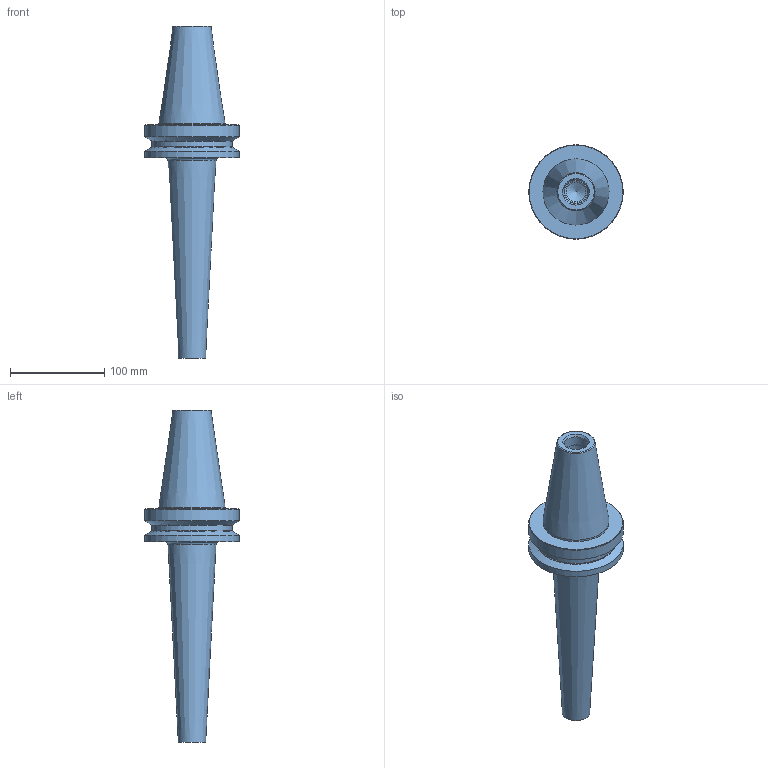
import cadquery as cq
import math


GAUGE_RADIUS = 69.85 / 2
TAPER_LENGTH = 101.8
TAPER_RATE = 7 / 24
TAPER_END_RADIUS = GAUGE_RADIUS - TAPER_LENGTH * TAPER_RATE / 2
TAPER_FOOT_Z = -1.0
TAPER_FOOT_RADIUS = GAUGE_RADIUS - TAPER_FOOT_Z * TAPER_RATE / 2
TAPER_EDGE_CHAMFER = 0.8

FLANGE_RADIUS = 50.0
FLANGE_TOP_Z = -3.0
FLANGE_CHAMFER = 0.5
FLANGE_BOTTOM_Z = -38.0
GROOVE_CENTRE_Z = -23.3
GROOVE_ROOT_RADIUS = 42.5
GROOVE_ROOT_WIDTH = 6.5
GROOVE_ROOT_FILLET = 0.8
GROOVE_FLANK_ANGLE = 30.0
GROOVE_FLANK_RISE = (FLANGE_RADIUS - GROOVE_ROOT_RADIUS) * math.tan(math.radians(GROOVE_FLANK_ANGLE))
GROOVE_ROOT_HALF = GROOVE_ROOT_WIDTH / 2
GROOVE_MOUTH_HALF = GROOVE_ROOT_HALF + GROOVE_FLANK_RISE

SHANK_END_Z = -250.0
SHANK_END_RADIUS = 14.5
SHANK_HALF_ANGLE = 3.0
SHANK_FILLET = 3.0
SHANK_ROOT_Z = FLANGE_BOTTOM_Z - SHANK_FILLET
SHANK_ROOT_RADIUS = SHANK_END_RADIUS + (SHANK_ROOT_Z - SHANK_END_Z) * math.tan(math.radians(SHANK_HALF_ANGLE))

MOUTH_RADIUS = 14.0
MOUTH_CONE_ANGLE = 30.0
PILOT_RADIUS = 12.5
PILOT_DEPTH = 13.0
THREAD_RADIUS = 12.0
THREAD_DEPTH = 34.0
RUNOUT_ANGLE = 60.0
CORE_RADIUS = 10.5
CORE_DEPTH = 45.0
RUNOUT_DEPTH = (THREAD_RADIUS - CORE_RADIUS) / math.tan(math.radians(RUNOUT_ANGLE))
DRILL_TIP_ANGLE = 120.0


def make_body():
    """Revolve the outer profile: taper, grooved flange and shank."""
    edge_radius = TAPER_END_RADIUS - TAPER_EDGE_CHAMFER
    edge_foot_z = TAPER_LENGTH - TAPER_EDGE_CHAMFER
    edge_foot_radius = GAUGE_RADIUS - edge_foot_z * TAPER_RATE / 2
    fillet_mid = SHANK_FILLET * (1 - math.sqrt(0.5))
    profile = (
        cq.Workplane("YZ")
        .moveTo(0, TAPER_LENGTH)
        .lineTo(edge_radius, TAPER_LENGTH)
        .lineTo(edge_foot_radius, edge_foot_z)
        .lineTo(TAPER_FOOT_RADIUS, TAPER_FOOT_Z)
        .lineTo(TAPER_FOOT_RADIUS, FLANGE_TOP_Z)
        .lineTo(FLANGE_RADIUS - FLANGE_CHAMFER, FLANGE_TOP_Z)
        .lineTo(FLANGE_RADIUS, FLANGE_TOP_Z - FLANGE_CHAMFER)
        .lineTo(FLANGE_RADIUS, GROOVE_CENTRE_Z + GROOVE_MOUTH_HALF)
        .lineTo(GROOVE_ROOT_RADIUS, GROOVE_CENTRE_Z + GROOVE_ROOT_HALF)
        .lineTo(GROOVE_ROOT_RADIUS, GROOVE_CENTRE_Z - GROOVE_ROOT_HALF)
        .lineTo(FLANGE_RADIUS, GROOVE_CENTRE_Z - GROOVE_MOUTH_HALF)
        .lineTo(FLANGE_RADIUS, FLANGE_BOTTOM_Z)
        .lineTo(SHANK_ROOT_RADIUS + SHANK_FILLET, FLANGE_BOTTOM_Z)
        .threePointArc(
            (SHANK_ROOT_RADIUS + fillet_mid, FLANGE_BOTTOM_Z - fillet_mid),
            (SHANK_ROOT_RADIUS, SHANK_ROOT_Z),
        )
        .lineTo(SHANK_END_RADIUS, SHANK_END_Z)
        .lineTo(0, SHANK_END_Z)
        .close()
    )
    return profile.revolve(360, (0, 0, 0), (0, 1, 0))


def round_groove_root(body):
    """Fillet the two corners where the groove flanks meet the groove root."""
    margin = 0.1
    reach = GROOVE_ROOT_RADIUS + margin
    root_edges = cq.selectors.BoxSelector(
        (-reach, -reach, GROOVE_CENTRE_Z - GROOVE_ROOT_HALF - margin),
        (reach, reach, GROOVE_CENTRE_Z + GROOVE_ROOT_HALF + margin),
        boundingbox=True,
    )
    return body.edges("%CIRCLE").edges(root_edges).fillet(GROOVE_ROOT_FILLET)


def make_bore():
    """Revolve the pull stud bore: chamfered pilot, thread, core hole and drill tip."""
    mouth_depth = (MOUTH_RADIUS - PILOT_RADIUS) / math.tan(math.radians(MOUTH_CONE_ANGLE))
    tip_depth = CORE_RADIUS / math.tan(math.radians(DRILL_TIP_ANGLE / 2))
    pilot_floor_z = TAPER_LENGTH - PILOT_DEPTH
    thread_end_z = TAPER_LENGTH - THREAD_DEPTH
    core_end_z = TAPER_LENGTH - CORE_DEPTH
    profile = (
        cq.Workplane("YZ")
        .moveTo(0, TAPER_LENGTH)
        .lineTo(MOUTH_RADIUS, TAPER_LENGTH)
        .lineTo(PILOT_RADIUS, TAPER_LENGTH - mouth_depth)
        .lineTo(PILOT_RADIUS, pilot_floor_z)
        .lineTo(THREAD_RADIUS, pilot_floor_z)
        .lineTo(THREAD_RADIUS, thread_end_z)
        .lineTo(CORE_RADIUS, thread_end_z - RUNOUT_DEPTH)
        .lineTo(CORE_RADIUS, core_end_z)
        .lineTo(0, core_end_z - tip_depth)
        .close()
    )
    return profile.revolve(360, (0, 0, 0), (0, 1, 0))


result = round_groove_root(make_body()).cut(make_bore())